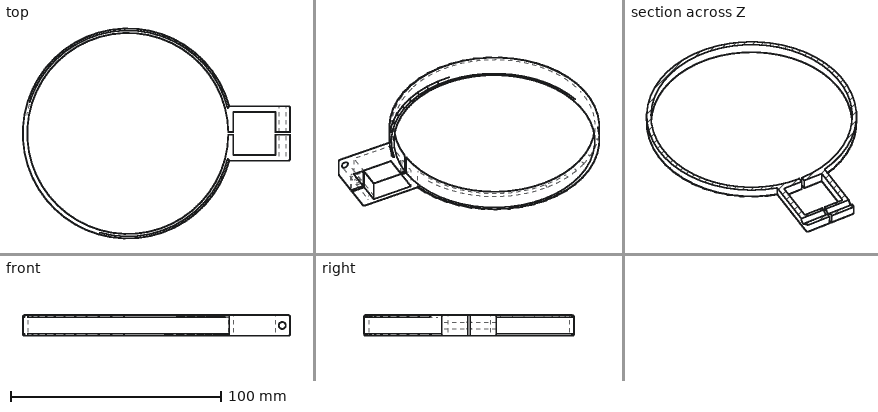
import cadquery as cq

HEIGHT = 10.0
RING_OUTER_RADIUS = 50.0
RING_WALL = 2.25
OVERALL_LENGTH = 127.23
CLAMP_WIDTH = 26.0
CLAMP_SIDE_WALL = 2.8
JAW_LENGTH = 7.0
WINDOW_LENGTH = 20.0
SPLIT_GAP = 1.2
SCREW_DIAMETER = 3.2
SCREW_END_DISTANCE = 3.75
EDGE_RADIUS = 1.0

RING_INNER_RADIUS = RING_OUTER_RADIUS - RING_WALL
CLAMP_END_X = OVERALL_LENGTH - RING_OUTER_RADIUS
WINDOW_END_X = CLAMP_END_X - JAW_LENGTH
WINDOW_START_X = WINDOW_END_X - WINDOW_LENGTH
WINDOW_WIDTH = CLAMP_WIDTH - 2 * CLAMP_SIDE_WALL
SCREW_X = CLAMP_END_X - SCREW_END_DISTANCE


def block(start_x, end_x, width):
    """Full-height block between two X positions, centred on Y and Z."""
    length = end_x - start_x
    centre_x = (start_x + end_x) / 2
    return cq.Workplane("XY").box(length, width, HEIGHT).translate((centre_x, 0, 0))


def disc(radius):
    """Full-height disc on the ring axis."""
    return cq.Workplane("XY").circle(radius).extrude(HEIGHT / 2, both=True)


def rounded_body():
    """Solid disc and clamp block with rounded top, bottom and free end edges."""
    body = disc(RING_OUTER_RADIUS).union(block(0, CLAMP_END_X, CLAMP_WIDTH))
    return body.faces("<Z or >Z or >X").edges().fillet(EDGE_RADIUS)


def clamp_window():
    """Rectangular opening between the ring and the clamp jaws."""
    return block(WINDOW_START_X, WINDOW_END_X, WINDOW_WIDTH)


def split_slot():
    """Gap that opens the ring and divides the clamp into two jaws."""
    return block(0, CLAMP_END_X, SPLIT_GAP)


def screw_hole():
    """Clamp screw hole along Y through both jaws."""
    profile = cq.Workplane("XZ").center(SCREW_X, 0).circle(SCREW_DIAMETER / 2)
    return profile.extrude(CLAMP_WIDTH / 2, both=True)


result = rounded_body()
for opening in (disc(RING_INNER_RADIUS), clamp_window(), split_slot(), screw_hole()):
    result = result.cut(opening)